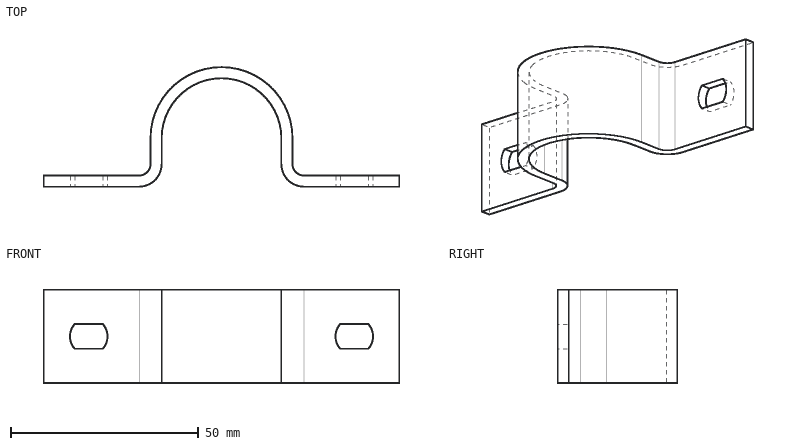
import cadquery as cq

length = 95.0
depth = 32.0
width = 25.0
thickness = 3.0
arch_radius = 19.0
bend_radius = 3.0
hole_spacing = 71.0
hole_diameter = 10.0
hole_height = 6.6

half_length = length / 2
bore_radius = arch_radius - thickness
arch_center_y = depth - arch_radius
wide_bend_radius = bend_radius + thickness
bend_center_x = arch_radius + bend_radius
bend_center_y = wide_bend_radius


def strip_profile():
    """Hat-shaped strip outline in the XY plane, with the feet at y = 0."""
    return (
        cq.Workplane("XY")
        .moveTo(-half_length, 0)
        .lineTo(-bend_center_x, 0)
        .radiusArc((-bore_radius, bend_center_y), -wide_bend_radius)
        .lineTo(-bore_radius, arch_center_y)
        .threePointArc((0, arch_center_y + bore_radius), (bore_radius, arch_center_y))
        .lineTo(bore_radius, bend_center_y)
        .radiusArc((bend_center_x, 0), -wide_bend_radius)
        .lineTo(half_length, 0)
        .lineTo(half_length, thickness)
        .lineTo(bend_center_x, thickness)
        .radiusArc((arch_radius, bend_center_y), bend_radius)
        .lineTo(arch_radius, arch_center_y)
        .threePointArc((0, depth), (-arch_radius, arch_center_y))
        .lineTo(-arch_radius, bend_center_y)
        .radiusArc((-bend_center_x, thickness), bend_radius)
        .lineTo(-half_length, thickness)
        .close()
    )


def hole_cutter(center_x):
    """Round hole with flats above and below, passing through a foot along Y."""
    round_cutter = (
        cq.Workplane("XZ")
        .center(center_x, width / 2)
        .circle(hole_diameter / 2)
        .extrude(thickness, both=True)
    )
    flats = cq.Workplane("XY").box(hole_diameter, 2 * thickness, hole_height)
    return round_cutter.intersect(flats.translate((center_x, 0, width / 2)))


result = strip_profile().extrude(width)
for side in (-1, 1):
    result = result.cut(hole_cutter(side * hole_spacing / 2))